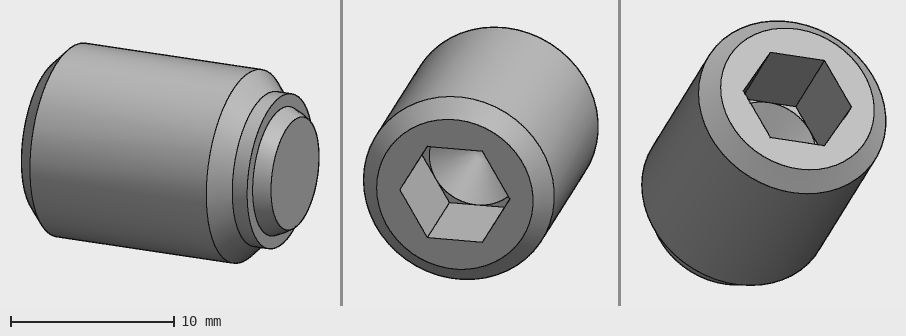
import cadquery as cq
import math

length = 16.2
body_diameter = 12.0
body_radius = body_diameter / 2

socket_end_chamfer = 1.09
collar_end_chamfer = 1.2
collar_length = 1.0
tip_length = 1.0
collar_radius = body_radius - collar_end_chamfer
collar_end_x = length - tip_length
collar_start_x = collar_end_x - collar_length

ball_radius = 4.25
ball_flat_radius = 3.5
ball_centre_x = length - math.sqrt(ball_radius**2 - ball_flat_radius**2)

hex_across_flats = 6.0
hex_across_corners = hex_across_flats / math.cos(math.pi / 6)
hex_depth = 6.0
cone_depth = 2.5


def revolve_about_axis(profile):
    """Turn a closed half profile (X, radius) about the screw axis."""
    return profile.revolve(360, (0, 0, 0), (1, 0, 0))


def ball_section_radius(x):
    """Radius of the ball's circular section at position x."""
    return math.sqrt(ball_radius**2 - (x - ball_centre_x) ** 2)


def make_body():
    """Chamfered cylinder with a short collar at the +X end."""
    points = [
        (0, 0),
        (0, body_radius - socket_end_chamfer),
        (socket_end_chamfer, body_radius),
        (collar_start_x - collar_end_chamfer, body_radius),
        (collar_start_x, collar_radius),
        (collar_end_x, collar_radius),
        (collar_end_x, 0),
    ]
    return revolve_about_axis(cq.Workplane("XY").polyline(points).close())


def make_ball_tip():
    """Slice of the ball between the collar face and the flat on its nose."""
    arc_middle_x = (collar_end_x + length) / 2
    profile = (
        cq.Workplane("XY")
        .moveTo(collar_end_x, 0)
        .lineTo(collar_end_x, ball_section_radius(collar_end_x))
        .threePointArc((arc_middle_x, ball_section_radius(arc_middle_x)), (length, ball_flat_radius))
        .lineTo(length, 0)
        .close()
    )
    return revolve_about_axis(profile)


def make_socket():
    """Hexagonal prism with two corners in the XY plane, ending in a cone."""
    prism = cq.Workplane("YZ").polygon(6, hex_across_corners).extrude(hex_depth)
    cone_points = [
        (hex_depth, 0),
        (hex_depth, hex_across_flats / 2),
        (hex_depth + cone_depth, 0),
    ]
    cone = revolve_about_axis(cq.Workplane("XZ").polyline(cone_points).close())
    return prism.union(cone)


result = make_body().union(make_ball_tip()).cut(make_socket())